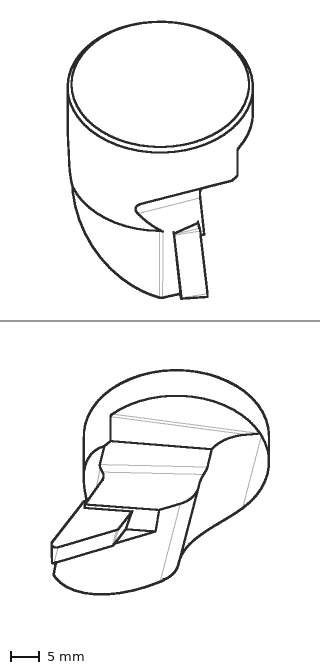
import cadquery as cq
import math

CUTTER_SPAN = 45.48

HEAD_RADIUS = 16.0
TOP_CHAMFER = 0.7
DISC_BOTTOM = -7.0
FLARE_TOP = -19.75
TOTAL_HEIGHT = 32.0
FLARE_SLOPE = 0.52

HOLLOW_X = -13.25
HOLLOW_RADIUS = 10.05
HOLLOW_END_ANGLE = 7.4
HEEL_RADIUS = 5.87
UNDERSIDE_ANGLE = 27.0

REAR_STEP_Y = 9.02
REAR_STEP_FILLET = 0.35

INSERT_REACH = 21.9
NOSE_RADIUS = 0.8
NOSE_ANGLE = 35.0
EDGE_ANGLE = UNDERSIDE_ANGLE + NOSE_ANGLE
INSERT_EDGE = 14.17
INSERT_THICKNESS = 4.55
INSERT_CLEARANCE = 7.0

RAKE_TILT_X = 0.08
RAKE_TILT_Z = -0.035

CHIP_OFFSET = 0.87
CHIP_CEILING_X = -3.4
CHIP_CEILING_Z = -11.98
CHIP_CEILING_ANGLE = 4.0
CHIP_FILLET = 0.9

NECK_RADIUS = 2.3
NECK_X = 15.4
NECK_Z = -15.0
NECK_UPPER_ANGLE = 47.0
FLANK_ANGLE = 64.0
NECK_TILT_X = 0.04
NECK_TILT_Z = 0.0
TOE_FILLET = 1.9
TOE_PLACE = (19.7, -7.58, -30.32)

SEAT_WALL_Z = -22.05

NOSE_X = INSERT_REACH - NOSE_RADIUS
NOSE_Z = -TOTAL_HEIGHT + NOSE_RADIUS


def polar(start, length, degrees):
    """Point at a distance and direction from a start point."""
    angle = math.radians(degrees)
    return (start[0] + length * math.cos(angle), start[1] + length * math.sin(angle))


def tilted_plane(offset=0.0, tilt_x=RAKE_TILT_X, tilt_z=RAKE_TILT_Z):
    """Plane through the nose, along the rake face by default; its normal points into the head."""
    normal = cq.Vector(-tilt_x, -1, -tilt_z)
    origin = cq.Vector(NOSE_X, 0, NOSE_Z) - normal.normalized() * offset
    x_dir = cq.Vector(1, -tilt_x, 0)
    return cq.Plane(origin=origin.toTuple(), xDir=x_dir.toTuple(), normal=normal.toTuple())


def local(x, z):
    """Place measured from the nose centre."""
    return (x - NOSE_X, z - NOSE_Z)


def make_blank():
    flare_radius = HEAD_RADIUS + FLARE_SLOPE * (TOTAL_HEIGHT + FLARE_TOP)
    return (
        cq.Workplane("XZ")
        .lineTo(HEAD_RADIUS - TOP_CHAMFER, 0)
        .lineTo(HEAD_RADIUS, -TOP_CHAMFER)
        .lineTo(HEAD_RADIUS, FLARE_TOP)
        .lineTo(flare_radius, -TOTAL_HEIGHT)
        .lineTo(0, -TOTAL_HEIGHT)
        .close()
        .revolve(360, (0, 0, 0), (0, 1, 0))
    )


def make_underside_cutter():
    hollow_centre = (HOLLOW_X, DISC_BOTTOM - HOLLOW_RADIUS)
    hollow_mid = polar(hollow_centre, HOLLOW_RADIUS, (90 + HOLLOW_END_ANGLE) / 2)
    hollow_end = polar(hollow_centre, HOLLOW_RADIUS, HOLLOW_END_ANGLE)
    heel_centre = polar(hollow_end, HEEL_RADIUS, HOLLOW_END_ANGLE)
    heel_start_angle = 180 + HOLLOW_END_ANGLE
    heel_end_angle = 270 - UNDERSIDE_ANGLE
    heel_mid = polar(heel_centre, HEEL_RADIUS, (heel_start_angle + heel_end_angle) / 2)
    heel_end = polar(heel_centre, HEEL_RADIUS, heel_end_angle)
    flat_end = polar(heel_end, CUTTER_SPAN, -UNDERSIDE_ANGLE)
    return (
        cq.Workplane("XZ")
        .moveTo(-CUTTER_SPAN, DISC_BOTTOM)
        .lineTo(HOLLOW_X, DISC_BOTTOM)
        .threePointArc(hollow_mid, hollow_end)
        .threePointArc(heel_mid, heel_end)
        .lineTo(*flat_end)
        .lineTo(-CUTTER_SPAN, flat_end[1])
        .close()
        .extrude(CUTTER_SPAN, both=True)
    )


def make_rear_step_cutter():
    return (
        cq.Workplane("XY")
        .box(2 * CUTTER_SPAN, CUTTER_SPAN, CUTTER_SPAN, centered=(True, False, False))
        .translate((0, REAR_STEP_Y, DISC_BOTTOM - CUTTER_SPAN))
        .edges("|X and <Y and >Z")
        .fillet(REAR_STEP_FILLET)
    )


def make_neck_cutter():
    """Relief groove running into the body flank beside the cutting edge."""
    centre = local(NECK_X, NECK_Z)
    upper_normal = 90 + NECK_UPPER_ANGLE
    lower_normal = 270 - FLANK_ANGLE
    upper = polar(centre, NECK_RADIUS, upper_normal)
    middle = polar(centre, NECK_RADIUS, (upper_normal + lower_normal) / 2)
    lower = polar(centre, NECK_RADIUS, lower_normal)
    return (
        cq.Workplane(tilted_plane(tilt_x=NECK_TILT_X, tilt_z=NECK_TILT_Z))
        .moveTo(*polar(upper, HEAD_RADIUS, NECK_UPPER_ANGLE))
        .lineTo(*upper)
        .threePointArc(middle, lower)
        .lineTo(*polar(lower, CUTTER_SPAN, -FLANK_ANGLE))
        .lineTo(CUTTER_SPAN, -CUTTER_SPAN)
        .lineTo(CUTTER_SPAN, 0)
        .close()
        .extrude(CUTTER_SPAN, both=True)
    )


def make_chip_cutter():
    ceiling = local(CHIP_CEILING_X, CHIP_CEILING_Z)
    left = polar(ceiling, CUTTER_SPAN, 180 - CHIP_CEILING_ANGLE)
    right = polar(ceiling, CUTTER_SPAN, -CHIP_CEILING_ANGLE)
    cutter = (
        cq.Workplane(tilted_plane(CHIP_OFFSET))
        .polyline([left, right, (right[0], -CUTTER_SPAN), (left[0], -CUTTER_SPAN)])
        .close()
        .extrude(-CUTTER_SPAN)
    )
    return cutter.faces("<Y").edges(">Z").fillet(CHIP_FILLET)


def make_seat_cutter():
    """Open seat that clears the head below the wall, down to the insert's back face."""
    wall_x, wall_z = local(0, SEAT_WALL_Z)
    return (
        cq.Workplane(tilted_plane(-INSERT_THICKNESS))
        .moveTo(wall_x, wall_z)
        .lineTo(CUTTER_SPAN, wall_z)
        .lineTo(CUTTER_SPAN, -CUTTER_SPAN)
        .lineTo(wall_x, -CUTTER_SPAN)
        .close()
        .extrude(-CUTTER_SPAN)
    )


def make_insert():
    bisector = -(UNDERSIDE_ANGLE + NOSE_ANGLE / 2)
    tip = polar((0, 0), NOSE_RADIUS / math.sin(math.radians(NOSE_ANGLE / 2)), bisector)
    lower_corner = polar(tip, INSERT_EDGE, 180 - UNDERSIDE_ANGLE)
    upper_corner = polar(tip, INSERT_EDGE, 180 - EDGE_ANGLE)
    inner_corner = polar(upper_corner, INSERT_EDGE, 180 - UNDERSIDE_ANGLE)
    outline = cq.Sketch().polygon([tip, lower_corner, inner_corner, upper_corner, tip])
    outline = outline.vertices().fillet(NOSE_RADIUS)
    return cq.Workplane(tilted_plane()).placeSketch(outline).extrude(INSERT_THICKNESS, taper=INSERT_CLEARANCE)


def make_head(insert):
    head = make_blank().cut(make_underside_cutter()).cut(make_neck_cutter())
    toe = cq.selectors.NearestToPointSelector(TOE_PLACE)
    head = head.edges(toe).fillet(TOE_FILLET)
    head = head.cut(make_rear_step_cutter()).cut(make_chip_cutter())
    return head.cut(make_seat_cutter()).cut(insert)


insert = make_insert()
head = make_head(insert)
result = cq.Compound.makeCompound([head.val(), insert.val()])